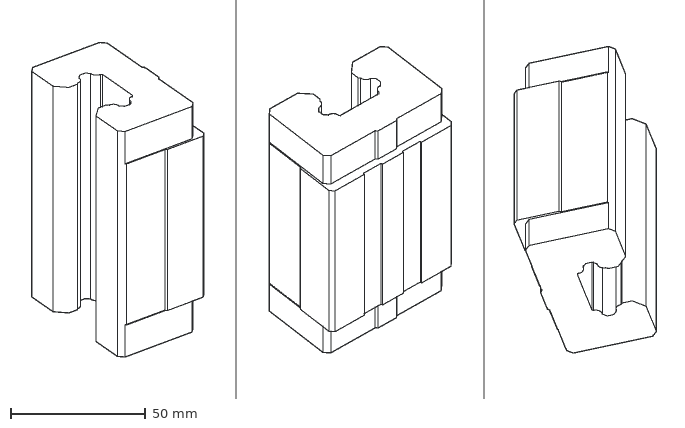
import cadquery as cq


total_length = 97.7
cap_length = 14.0
block_length = total_length - 2 * cap_length

block_width = 60.0
block_height = 39.0
block_top_chamfer = 1.6
flank_step = 0.5
step_top = 21.0
step_bottom = 20.2
relief_inner = 5.2
relief_outer = 14.0
relief_depth = 0.7

cap_width = 58.2
cap_height = 35.0
cap_top_chamfer = 2.1
ridge_base_width = 10.6
ridge_top_width = 9.0
ridge_height = 0.8

foot_half_width = 27.1

roof_height = 19.9
roof_half_width = 9.5
neck_half_width = 10.0
lip_half_width = 9.3
lip_top = 8.1
mouth_half_width = 13.5
lip_radius = 1.0

raceway_height = 14.1
raceway_half_opening = 2.7
raceway_floor_half_width = 14.2
raceway_flank = 1.5
raceway_floor_radius = 0.8
land_radius = 2.4


def mirrored_prism(right_side, bottom, length):
    """Extrude the section bounded by a right-hand outline and its mirror image in X = 0."""
    left_side = [(-x, y) for x, y in reversed(right_side)]
    outline = cq.Workplane("XY").workplane(offset=bottom).polyline(right_side + left_side)
    return outline.close().extrude(length)


def make_block():
    upper_half = block_width / 2
    lower_half = upper_half - flank_step
    relief_floor = block_height - relief_depth
    right_side = [
        (foot_half_width, 0),
        (lower_half, lower_half - foot_half_width),
        (lower_half, step_bottom),
        (upper_half, step_top),
        (upper_half, block_height - block_top_chamfer),
        (upper_half - block_top_chamfer, block_height),
        (relief_outer, block_height),
        (relief_outer, relief_floor),
        (relief_inner, relief_floor),
        (relief_inner, block_height),
    ]
    return mirrored_prism(right_side, cap_length, block_length)


def make_cap(bottom):
    half = cap_width / 2
    right_side = [
        (foot_half_width, 0),
        (half, half - foot_half_width),
        (half, cap_height - cap_top_chamfer),
        (half - cap_top_chamfer, cap_height),
        (ridge_base_width / 2, cap_height),
        (ridge_top_width / 2, cap_height + ridge_height),
    ]
    return mirrored_prism(right_side, bottom, cap_length)


def round_long_edge(solid, x, y, radius):
    """Fillet the full-length edge that passes through (x, y)."""
    edge = cq.selectors.NearestToPointSelector((x, y, total_length / 2))
    return solid.edges("|Z").edges(edge).fillet(radius)


def make_half_channel():
    """Right-hand half of the rail channel, from the centre plane outwards."""
    lip_bottom = mouth_half_width - lip_half_width
    lip_corner = neck_half_width - lip_half_width
    roof_corner = neck_half_width - roof_half_width
    opening_bottom = raceway_height - raceway_half_opening
    opening_top = raceway_height + raceway_half_opening
    flank_start = raceway_floor_half_width - raceway_flank
    floor_bottom = opening_bottom + raceway_flank
    floor_top = opening_top - raceway_flank
    outline = [
        (0, 0),
        (mouth_half_width, 0),
        (lip_half_width, lip_bottom),
        (lip_half_width, lip_top),
        (neck_half_width, lip_top + lip_corner),
        (neck_half_width, opening_bottom),
        (flank_start, opening_bottom),
        (raceway_floor_half_width, floor_bottom),
        (raceway_floor_half_width, floor_top),
        (flank_start, opening_top),
        (neck_half_width, opening_top),
        (neck_half_width, roof_height - roof_corner),
        (roof_half_width, roof_height),
        (0, roof_height),
    ]
    half = cq.Workplane("XY").polyline(outline).close().extrude(total_length)
    half = round_long_edge(half, lip_half_width, lip_bottom, lip_radius)
    for y in (opening_bottom, opening_top):
        half = round_long_edge(half, neck_half_width, y, land_radius)
    for y in (floor_bottom, floor_top):
        half = round_long_edge(half, raceway_floor_half_width, y, raceway_floor_radius)
    return half


half_channel = make_half_channel()
channel = half_channel.union(half_channel.mirror("YZ"))

carriage = make_block()
for cap_bottom in (0, total_length - cap_length):
    carriage = carriage.union(make_cap(cap_bottom))

result = carriage.cut(channel)